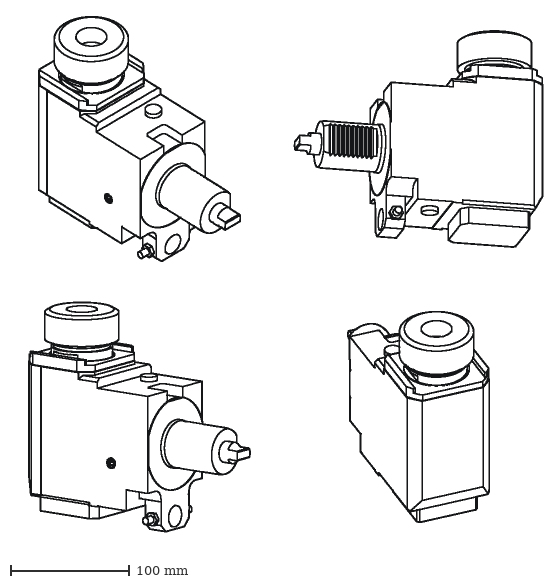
import cadquery as cq
import math


head_half_x = 35.0
side_width = 75.5
half_width = side_width / 2
pad_height = 0.5
pad_start_x = -14.7
housing_end_x = 99.2
corner_chamfer = 9.7
head_top_z = 58.4
shelf_top_z = 55.7
shelf_end_x = 45.3
shelf_chamfer = 3.1
shoulder_top_z = 47.5
head_bottom_z = -55.3
housing_bottom_z = -54.6
nose_slope_top_z = -41.0
nose_slope_end_x = -26.7
bottom_chamfer = 2.7
bottom_chamfer_end_x = 36.6
foot_bottom_z = -69.5
foot_start_x = -24.6
foot_half_y = 27.7
foot_front_chamfer = 2.0
foot_rear_chamfer = 5.8

plate_top_z = 64.4
plate_corner_radius = 44.5
ear_top_z = 68.7
ear_half_x = 29.0
ear_thickness = 5.8
plate_lower_chamfer = 0.5
plate_recess_radius = 27.7
plate_recess_depth = 0.8

nut_radius = 31.5
nut_top_radius = 27.3
nut_top_z = 103.5
nut_bottom_z = 77.8
nut_edge_height = 2.5
nut_neck_radius = 25.3
nut_neck_bottom_z = 74.7
groove_radius = 24.0
collar_radius = 26.0
collar_top_z = 71.6
wrench_flat_top_z = 69.1
wrench_flat_half_y = 22.8
bore_radius = 13.0
bore_depth = 15.5

pin_x = 60.0
pin_y = 15.0
pin_radius = 7.0
pin_height = 4.0

keyway_start_x = 77.0
keyway_width = 22.0
keyway_depth = 9.5
keyway_corner = 3.7

screw_x = 60.0
screw_z = -15.5
screw_hole_radius = 4.3
screw_hole_depth = 6.2
screw_radius = 3.7
screw_recess = 1.2
socket_across_corners = 5.0

seat_radius = 39.7
seat_thickness = 0.6
ring_radius = 20.7
ring_end_x = 103.3
ring_rounding = 1.2
shank_radius = 20.0
shank_end_x = 152.8
shank_lead_length = 3.3
shank_lead_depth = 0.6
flat_start_x = 106.6
flat_y = 16.0
tooth_count = 10
tooth_pitch = 4.0
tooth_depth = 1.7
first_tooth_x = 111.0
drive_radius = 9.1
drive_end_x = 161.7
tang_end_x = 172.0
tang_half_height = 4.1
tang_root_fillet = 1.2
tang_chamfer = 0.8

recess_start_x = 76.2
recess_top_z = -36.6
rib_bottom_z = -47.2
rib_half_y = 19.7
rib_fillet = 8.3
bracket_start_x = 82.4
bracket_half_y = 19.5
bracket_bottom_z = -74.1
bracket_chamfer = 6.5
clamp_x = 90.9
clamp_z = -63.0
clamp_hole_radius = 9.1
clamp_nut_across_corners = 11.8
clamp_nut_thickness = 3.3
clamp_screw_radius = 3.1
clamp_screw_end_y = 30.5


def box(x_range, y_range, z_range):
    """Box between the given limits."""
    corner = cq.Vector(x_range[0], y_range[0], z_range[0])
    size = [high - low for low, high in (x_range, y_range, z_range)]
    return cq.Workplane(cq.Solid.makeBox(*size, corner))


def rod_x(radius, start_x, end_x, z=0):
    """Round bar parallel to X."""
    return cq.Workplane("YZ", origin=(start_x, 0, z)).circle(radius).extrude(end_x - start_x)


def rod_z(radius, low_z, high_z, x=0, y=0):
    """Round bar parallel to Z."""
    return cq.Workplane("XY", origin=(x, y, low_z)).circle(radius).extrude(high_z - low_z)


def prism_x(points, start_x, end_x):
    """Y-Z outline extruded along X."""
    return cq.Workplane("YZ", origin=(start_x, 0, 0)).polyline(points).close().extrude(end_x - start_x)


def long_edge_chamfer(side_y, edge_z, size, start_x, end_x):
    """Cutter for a chamfer along an X edge; a negative size bevels an upper edge."""
    inward = -math.copysign(abs(size), side_y)
    points = [(side_y, edge_z), (side_y + inward, edge_z), (side_y, edge_z + size)]
    return prism_x(points, start_x, end_x)


def make_housing():
    pad_y = -half_width - pad_height
    chamfer_x = -head_half_x + corner_chamfer
    chamfer_y = half_width - corner_chamfer
    plan = [
        (-head_half_x, chamfer_y),
        (chamfer_x, half_width),
        (housing_end_x, half_width),
        (housing_end_x, pad_y),
        (pad_start_x, pad_y),
        (pad_start_x, -half_width),
        (chamfer_x, -half_width),
        (-head_half_x, -chamfer_y),
    ]
    side = [
        (-head_half_x, shelf_top_z),
        (shelf_end_x, shelf_top_z),
        (shelf_end_x, shoulder_top_z),
        (housing_end_x, shoulder_top_z),
        (housing_end_x, recess_top_z),
        (recess_start_x, recess_top_z),
        (recess_start_x, housing_bottom_z),
        (shelf_end_x, housing_bottom_z),
        (shelf_end_x, head_bottom_z),
        (nose_slope_end_x, head_bottom_z),
        (-head_half_x, nose_slope_top_z),
    ]
    housing = (
        cq.Workplane("XY", origin=(0, 0, head_bottom_z))
        .polyline(plan).close().extrude(shelf_top_z - head_bottom_z)
    )
    housing = housing.intersect(
        cq.Workplane("XZ").polyline(side).close().extrude(2 * half_width, both=True)
    )
    for side_y in (pad_y, half_width):
        shelf_bevel = long_edge_chamfer(side_y, shelf_top_z, -shelf_chamfer, -chamfer_x, shelf_end_x)
        bottom_bevel = long_edge_chamfer(
            side_y, head_bottom_z, bottom_chamfer, -head_half_x, bottom_chamfer_end_x
        )
        housing = housing.cut(shelf_bevel).cut(bottom_bevel)
    head_low_z = shelf_top_z - shelf_chamfer
    head = box((-head_half_x, head_half_x), (-half_width, half_width), (head_low_z, head_top_z))
    head = head.edges("|Z").chamfer(corner_chamfer)
    head_pad = box((pad_start_x, -chamfer_x), (pad_y, -half_width), (head_low_z, head_top_z))
    return housing.union(head).union(head_pad)


def make_foot():
    foot = box((foot_start_x, head_half_x), (-foot_half_y, foot_half_y), (foot_bottom_z, head_bottom_z))
    foot = foot.edges("|Z and <X").chamfer(foot_front_chamfer)
    return foot.edges("|Z and >X").chamfer(foot_rear_chamfer)


def make_cover_plate():
    plate = box((-head_half_x, head_half_x), (-half_width, half_width), (head_top_z, plate_top_z))
    ear_inner_y = half_width - ear_thickness
    for ear_y in ((-half_width, -ear_inner_y), (ear_inner_y, half_width)):
        plate = plate.union(box((-ear_half_x, ear_half_x), ear_y, (head_top_z, ear_top_z)))
    plate = plate.intersect(rod_z(plate_corner_radius, head_top_z, ear_top_z))
    plate = plate.faces("<Z").chamfer(plate_lower_chamfer)
    return plate.cut(rod_z(plate_recess_radius, plate_top_z - plate_recess_depth, plate_top_z))


def make_spindle():
    edge_z = nut_top_z - nut_edge_height
    spindle = (
        cq.Workplane("XZ")
        .moveTo(0, head_top_z)
        .lineTo(collar_radius, head_top_z)
        .lineTo(collar_radius, collar_top_z)
        .lineTo(groove_radius, collar_top_z)
        .lineTo(groove_radius, nut_neck_bottom_z)
        .lineTo(nut_neck_radius, nut_neck_bottom_z)
        .lineTo(nut_neck_radius, nut_bottom_z)
        .lineTo(nut_radius, nut_bottom_z)
        .lineTo(nut_radius, edge_z)
        .lineTo(nut_top_radius, nut_top_z)
        .lineTo(0, nut_top_z)
        .close()
        .revolve(360, (0, 0, 0), (0, 1, 0))
    )
    flat_bottom_z = plate_top_z - plate_recess_depth
    for side_y in ((-collar_radius, -wrench_flat_half_y), (wrench_flat_half_y, collar_radius)):
        flat = box((-collar_radius, collar_radius), side_y, (flat_bottom_z, wrench_flat_top_z))
        spindle = spindle.cut(flat)
    return spindle.cut(rod_z(bore_radius, nut_top_z - bore_depth, nut_top_z))


def make_pins():
    return rod_z(pin_radius, housing_bottom_z - pin_height, shoulder_top_z + pin_height, pin_x, pin_y)


def make_keyway():
    half = keyway_width / 2
    floor_z = shoulder_top_z - keyway_depth
    keyway = box((keyway_start_x, housing_end_x), (-half, half), (floor_z, shoulder_top_z))
    return keyway.edges("|Z and <X").fillet(keyway_corner)


def make_set_screw_hole():
    """Round hole minus a recessed screw that has a hexagon socket."""
    face = cq.Workplane("XZ", origin=(screw_x, -half_width - pad_height, screw_z))
    hole = face.circle(screw_hole_radius).extrude(-screw_hole_depth)
    screw = (
        face.workplane(offset=-screw_recess)
        .circle(screw_radius)
        .polygon(6, socket_across_corners)
        .extrude(screw_recess - screw_hole_depth)
    )
    return hole.cut(screw)


def make_shank():
    seat_end_x = housing_end_x + seat_thickness
    seat = rod_x(seat_radius, housing_end_x, seat_end_x).intersect(
        box((housing_end_x, seat_end_x), (-half_width, half_width), (-seat_radius, seat_radius))
    )
    ring = rod_x(ring_radius, seat_end_x, ring_end_x).faces(">X").edges().fillet(ring_rounding)
    shank = (
        rod_x(shank_radius, housing_end_x, shank_end_x)
        .faces(">X").chamfer(shank_lead_length, shank_lead_depth)
    )
    shank = shank.cut(
        box((flat_start_x, shank_end_x), (flat_y, shank_radius), (-shank_radius, shank_radius))
    )
    for index in range(tooth_count):
        tooth_x = first_tooth_x + index * tooth_pitch
        groove = (
            cq.Workplane("XY", origin=(tooth_x, flat_y, 0))
            .polyline([(-tooth_depth, 0), (tooth_depth, 0), (0, -tooth_depth)])
            .close().extrude(shank_radius, both=True)
        )
        shank = shank.cut(groove)
    return seat.union(ring).union(shank)


def make_drive():
    """Round drive end with a flat tang, filleted where the tang meets the round."""
    drive = rod_x(drive_radius, shank_end_x, tang_end_x)
    for cut_z in ((-drive_radius, -tang_half_height), (tang_half_height, drive_radius)):
        root_edge = "|Y and <X and >Z" if cut_z[0] < 0 else "|Y and <X and <Z"
        side_cut = box((drive_end_x, tang_end_x), (-drive_radius, drive_radius), cut_z)
        drive = drive.cut(side_cut.edges(root_edge).fillet(tang_root_fillet))
    return drive.faces(">X").edges("|Y").chamfer(tang_chamfer)


def make_rib():
    """Rib hanging from the recess ceiling, blended into it by a fillet on each side."""
    foot_y = rib_half_y + rib_fillet
    fillet_end_z = recess_top_z - rib_fillet
    sweep = rib_fillet * math.sqrt(0.5)
    arc_y = foot_y - sweep
    arc_z = fillet_end_z + sweep
    return (
        cq.Workplane("YZ", origin=(recess_start_x, 0, 0))
        .moveTo(-foot_y, recess_top_z)
        .lineTo(foot_y, recess_top_z)
        .threePointArc((arc_y, arc_z), (rib_half_y, fillet_end_z))
        .lineTo(rib_half_y, rib_bottom_z)
        .lineTo(-rib_half_y, rib_bottom_z)
        .lineTo(-rib_half_y, fillet_end_z)
        .threePointArc((-arc_y, arc_z), (-foot_y, recess_top_z))
        .close()
        .extrude(housing_end_x - recess_start_x)
    )


def make_bracket():
    x_range = (bracket_start_x, housing_end_x)
    bracket = box(x_range, (-bracket_half_y, bracket_half_y), (bracket_bottom_z, rib_bottom_z))
    bracket = bracket.edges("|X and <Z").chamfer(bracket_chamfer)
    nut_end_y = bracket_half_y + clamp_nut_thickness
    middle = cq.Workplane("XZ", origin=(clamp_x, 0, clamp_z))
    nuts = middle.polygon(6, clamp_nut_across_corners).extrude(nut_end_y, both=True)
    screws = middle.circle(clamp_screw_radius).extrude(clamp_screw_end_y, both=True)
    bore = rod_x(clamp_hole_radius, bracket_start_x, housing_end_x, z=clamp_z)
    return bracket.union(nuts).union(screws).cut(bore)


result = make_housing()
for feature in (
    make_foot(),
    make_cover_plate(),
    make_spindle(),
    make_pins(),
    make_shank(),
    make_drive(),
    make_rib(),
    make_bracket(),
):
    result = result.union(feature)
result = result.cut(make_keyway()).cut(make_set_screw_hole())